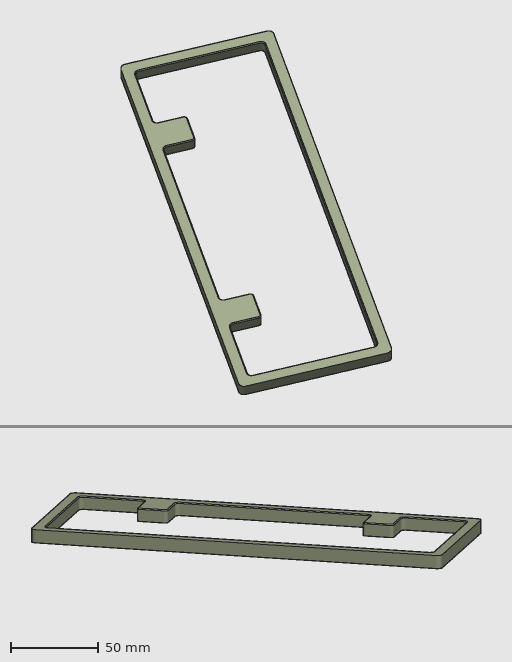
import cadquery as cq

length = 243.8
width = 91.5
height = 7.8
outer_corner_radius = 3.2

side_rail = 6.8
long_rail = 7.0
inner_corner_radius = 2.5

tab_width = 18.3
tab_length = 19.5
tab_spacing = 134.0
tab_corner_radius = 2.0

rim_chamfer = 0.6

opening_length = length - 2 * side_rail
opening_width = width - 2 * long_rail
opening_front = -opening_width / 2


def make_tab(center_x):
    """Tab reaching back into the opening, rooted halfway into the front rail."""
    root_depth = long_rail / 2
    tab = (
        cq.Workplane("XY")
        .center(center_x, opening_front - root_depth)
        .rect(tab_width, 2 * (tab_length + root_depth))
        .extrude(height)
    )
    return tab.edges("|Z and >Y").fillet(tab_corner_radius)


def make_opening():
    """Opening volume, notched around the tabs, with rounded tab roots."""
    opening = cq.Workplane("XY").rect(opening_length, opening_width).extrude(height)
    opening = opening.edges("|Z").fillet(inner_corner_radius)
    for center_x in (-tab_spacing / 2, tab_spacing / 2):
        opening = opening.cut(make_tab(center_x))
    tab_roots = cq.selectors.BoxSelector(
        (-length / 3, opening_front - rim_chamfer, -height),
        (length / 3, opening_front + rim_chamfer, 2 * height),
    )
    return opening.edges("|Z").edges(tab_roots).fillet(inner_corner_radius)


frame = cq.Workplane("XY").rect(length, width).extrude(height)
frame = frame.edges("|Z").fillet(outer_corner_radius)
frame = frame.cut(make_opening())

rim_edges = cq.selectors.BoxSelector(
    (-length / 2 + side_rail / 2, -width / 2 + long_rail / 2, height / 2),
    (length / 2 - side_rail / 2, width / 2 - long_rail / 2, 2 * height),
    boundingbox=True,
)
result = frame.faces(">Z").edges(rim_edges).chamfer(rim_chamfer)